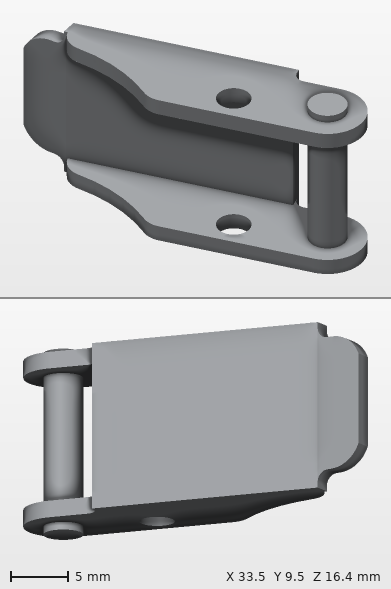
import cadquery as cq
import math

sheet = 1.5
width = 15.0
inner_width = width - 2 * sheet

end_radius = 3.52
back_y = end_radius + sheet
plate_left = -25.5
web_right = -4.5
notch_radius = 1.0
corner_radius = 2.25
sweep_radius = 15.58
sweep_start_angle = 13.0
upper_corner_y = 3.7
hole_diameter = 3.1
hole_x = -8.38
hole_y = -1.0

pin_diameter = 3.52
pin_length = 16.4

tab_angle = 13.0
tab_length = 4.25
tab_corner_radius = 3.0
tab_corner_length = 2.8
tab_relief_radius = 1.0


def polar(center, radius, angle):
    """Point at a distance from center, in a direction given in radians from +X."""
    return (center[0] + radius * math.cos(angle), center[1] + radius * math.sin(angle))


def make_side_plate(bottom_z):
    upper_center = (plate_left + corner_radius, upper_corner_y)
    start_angle = math.radians(90 - sweep_start_angle)
    centers_apart = sweep_radius + corner_radius
    sweep_center = polar(upper_center, -centers_apart, start_angle)
    lower_center_y = -end_radius + corner_radius
    end_angle = math.asin((lower_center_y - sweep_center[1]) / centers_apart)
    lower_center = polar(sweep_center, centers_apart, end_angle)

    sweep_start = polar(sweep_center, sweep_radius, start_angle)
    sweep_mid = polar(sweep_center, sweep_radius, (start_angle + end_angle) / 2)
    sweep_end = polar(sweep_center, sweep_radius, end_angle)
    upper_mid = polar(upper_center, corner_radius, math.pi + start_angle / 2)
    lower_mid = polar(lower_center, corner_radius, math.pi + (end_angle + math.pi / 2) / 2)
    notch_center = (web_right + notch_radius, end_radius + notch_radius)

    outline = (
        cq.Workplane("XY", origin=(0, 0, bottom_z))
        .moveTo(plate_left, back_y)
        .lineTo(plate_left, upper_corner_y)
        .threePointArc(upper_mid, sweep_start)
        .threePointArc(sweep_mid, sweep_end)
        .threePointArc(lower_mid, (lower_center[0], -end_radius))
        .lineTo(0, -end_radius)
        .threePointArc((end_radius, 0), (0, end_radius))
        .lineTo(notch_center[0], end_radius)
        .threePointArc(polar(notch_center, notch_radius, math.radians(225)), (web_right, notch_center[1]))
        .lineTo(web_right, back_y)
        .close()
    )
    hole = (
        cq.Workplane("XY", origin=(hole_x, hole_y, bottom_z))
        .circle(hole_diameter / 2)
        .extrude(sheet)
    )
    return outline.extrude(sheet).cut(hole)


def make_web():
    return cq.Workplane("XY").box(web_right - plate_left, sheet, width).translate(
        ((plate_left + web_right) / 2, back_y - sheet / 2, 0)
    )


def make_tab():
    """Flat tab reaching in -X from the bend line, then tilted backwards about that line."""
    half_width = inner_width / 2
    flare = half_width + tab_relief_radius
    corner_start = -tab_length + tab_corner_length
    corner_angle = math.asin(tab_corner_length / tab_corner_radius)
    corner_center = (corner_start, half_width - tab_corner_radius)
    tip_half_width = polar(corner_center, tab_corner_radius, math.pi / 2 + corner_angle)[1]
    corner_mid = polar(corner_center, tab_corner_radius, math.pi / 2 + corner_angle / 2)
    relief_center = (-tab_relief_radius, flare)
    relief_mid = polar(relief_center, tab_relief_radius, math.radians(-45))

    tab = (
        cq.Workplane("XZ")
        .moveTo(0, 0)
        .lineTo(-tab_length, 0)
        .lineTo(-tab_length, tip_half_width)
        .threePointArc(corner_mid, (corner_start, half_width))
        .lineTo(-tab_relief_radius, half_width)
        .threePointArc(relief_mid, (0, flare))
        .close()
        .extrude(sheet)
    )
    tab = tab.union(tab.mirror("XY"))
    return tab.rotate((0, 0, 0), (0, 0, 1), -tab_angle).translate((plate_left, back_y, 0))


def make_bend():
    """Full-width wedge of metal filling the bend between the tab and the web."""
    bend_line = (plate_left, back_y)
    tab_root = polar(bend_line, sheet, math.radians(270 - tab_angle))
    web_root = (plate_left, back_y - sheet)
    mitre = (plate_left - sheet * math.tan(math.radians(tab_angle / 2)), back_y - sheet)
    return (
        cq.Workplane("XY", origin=(0, 0, -width / 2))
        .polyline([bend_line, tab_root, mitre, web_root])
        .close()
        .extrude(width)
    )


def make_pin():
    return cq.Workplane("XY", origin=(0, 0, -pin_length / 2)).circle(pin_diameter / 2).extrude(pin_length)


result = make_web().union(make_bend()).union(make_tab()).union(make_pin())
for plate_bottom in (-width / 2, inner_width / 2):
    result = result.union(make_side_plate(plate_bottom))
result = result.clean()